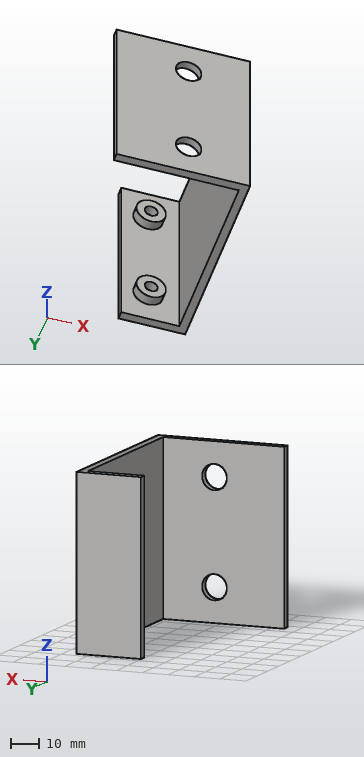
import cadquery as cq

depth = 75.0
height = 66.0
long_flange = 50.0
short_flange = 25.0
wall = 3.2

hole_spacing = 40.0
access_hole_diameter = 9.5
access_hole_x = 27.0

boss_diameter = 11.0
boss_height = 3.8
boss_bore = 4.8
boss_x = 35.0

hole_heights = [height / 2 - hole_spacing / 2, height / 2 + hole_spacing / 2]


def cylinder_along_y(x, y, z, diameter, length):
    """Cylinder starting at (x, y, z) and running toward +Y."""
    return cq.Workplane(cq.Solid.makeCylinder(
        diameter / 2, length, cq.Vector(x, y, z), cq.Vector(0, 1, 0)))


profile = [
    (0, 0),
    (long_flange, 0),
    (long_flange, depth),
    (long_flange - short_flange, depth),
    (long_flange - short_flange, depth - wall),
    (long_flange - wall, depth - wall),
    (long_flange - wall, wall),
    (0, wall),
]
result = cq.Workplane("XY").polyline(profile).close().extrude(height)

boss_face_y = depth - wall - boss_height
for z in hole_heights:
    boss = cylinder_along_y(boss_x, boss_face_y, z, boss_diameter, boss_height)
    bore = cylinder_along_y(boss_x, boss_face_y, z, boss_bore, boss_height)
    access_hole = cylinder_along_y(access_hole_x, 0, z, access_hole_diameter, wall)
    result = result.union(boss).cut(bore).cut(access_hole)